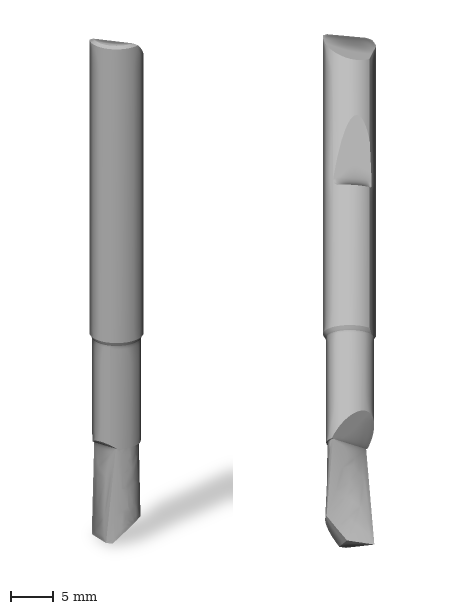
import cadquery as cq
import math

total_length = 63.5
shank_radius = 3.175
shank_bottom_z = 25.4
shank_bottom_chamfer_height = 0.5
shank_top_chamfer_height = 0.3
shank_top_chamfer_width = 0.4

shank_flat_distance = 2.79
shank_flat_angle = 150

top_bevel_angle = 45
top_bevel_start_y = -1.36

notch_top_z = 52.1
notch_heel_z = 43.6
notch_slope = 9.5
notch_corner_radius = 0.8

neck_radius = 2.85
relief_middle_angle = -45
neck_relief_radius = 2.68
neck_relief_inset = 0.1
neck_bottom_z = 12.25

root_edge = (-2.34, -1.29)
root_heel = (0.69, -2.48)
root_back = (2.38, 1.15)
root_back_radius = 2.62
tip_edge = (-3.01, -0.1)
tip_heel = (-0.38, -3.0)
tip_back = (3.05, -0.1)
tip_back_radius = 3.03

rake_runout_slope = 1.14
flank_runout_slope = 0.9

tip_end_slope = 0.06
tip_bevel_low = (0.5, 0.4)
tip_bevel_high = (3.05, 3.07)

cutter_size = 20


def polar(radius, degrees):
    angle = math.radians(degrees)
    return (radius * math.cos(angle), radius * math.sin(angle))


def side_prism(outline, plane):
    """Closed outline extruded through the whole tool, both ways from the plane."""
    return cq.Workplane(plane).polyline(outline).close().extrude(cutter_size, both=True)


def make_shank():
    top_radius = shank_radius - shank_top_chamfer_width
    profile = [
        (0, shank_bottom_z),
        (neck_radius, shank_bottom_z),
        (shank_radius, shank_bottom_z + shank_bottom_chamfer_height),
        (shank_radius, total_length - shank_top_chamfer_height),
        (top_radius, total_length),
        (0, total_length),
    ]
    shank = cq.Workplane("XZ").polyline(profile).close().revolve(360, (0, 0, 0), (0, 1, 0))
    return shank.cut(side_flat()).cut(top_bevel()).cut(notch())


def side_flat():
    block = cq.Workplane("XY").box(
        cutter_size, cutter_size, total_length, centered=(False, True, False)
    )
    block = block.translate((shank_flat_distance, 0, shank_bottom_z))
    return block.rotate((0, 0, 0), (0, 0, 1), shank_flat_angle)


def top_bevel():
    drop = cutter_size * math.tan(math.radians(top_bevel_angle))
    outline = [
        (top_bevel_start_y, total_length),
        (top_bevel_start_y + cutter_size, total_length),
        (top_bevel_start_y + cutter_size, total_length - drop),
    ]
    return side_prism(outline, "YZ")


def notch():
    """Shallow slope ending in a square, rounded shoulder, cut across the +Y side."""
    slope = math.tan(math.radians(notch_slope))
    heel_y = shank_radius - (notch_top_z - notch_heel_z) * slope
    reach = shank_radius
    outline = [
        (heel_y, notch_heel_z),
        (heel_y + reach, notch_heel_z - reach * slope),
        (heel_y + reach, notch_heel_z + reach / slope),
    ]
    inner_corner = cq.selectors.NearestToPointSelector((0, heel_y, notch_heel_z))
    return side_prism(outline, "YZ").edges(inner_corner).fillet(notch_corner_radius)


def make_neck():
    relief_side = math.sqrt(neck_radius**2 - neck_relief_inset**2)
    relief_start = (neck_relief_inset, -relief_side)
    relief_end = (relief_side, -neck_relief_inset)
    neck = (
        cq.Workplane("XY", origin=(0, 0, neck_bottom_z))
        .moveTo(*relief_start)
        .threePointArc(polar(neck_relief_radius, relief_middle_angle), relief_end)
        .threePointArc(polar(neck_radius, relief_middle_angle + 180), relief_start)
        .close()
        .extrude(shank_bottom_z - neck_bottom_z)
    )
    rake_cut = runout_wedge(root_back, root_edge, rake_runout_slope)
    flank_cut = runout_wedge(root_edge, root_heel, flank_runout_slope)
    return neck.cut(rake_cut).cut(flank_cut)


def runout_wedge(start, end, slope):
    """Wedge rising outward from a blade root side; outward is right of start to end."""
    length = math.hypot(end[0] - start[0], end[1] - start[1])
    along = cq.Vector((end[0] - start[0]) / length, (end[1] - start[1]) / length, 0)
    plane = cq.Plane(
        origin=(start[0], start[1], neck_bottom_z),
        xDir=(along.y, -along.x, 0),
        normal=along,
    )
    outline = [(0, 0), (cutter_size, 0), (cutter_size, -slope * cutter_size)]
    return cq.Workplane(plane).polyline(outline).close().extrude(cutter_size, both=True)


def blade_section(z, edge, heel, back, back_radius):
    """Wire with a straight flank, a curved back and a straight rake side."""
    edge_point = cq.Vector(*edge, z)
    heel_point = cq.Vector(*heel, z)
    back_point = cq.Vector(*back, z)
    middle = cq.Vector(*polar(back_radius, relief_middle_angle), z)
    return cq.Wire.assembleEdges([
        cq.Edge.makeLine(edge_point, heel_point),
        cq.Edge.makeThreePointArc(heel_point, middle, back_point),
        cq.Edge.makeLine(back_point, edge_point),
    ])


def make_blade():
    root = blade_section(neck_bottom_z, root_edge, root_heel, root_back, root_back_radius)
    tip = blade_section(0, tip_edge, tip_heel, tip_back, tip_back_radius)
    blade = cq.Workplane(cq.Solid.makeLoft([tip, root], True))
    return blade.cut(tip_end_cut()).cut(tip_bevel())


def tip_end_cut():
    """Half space below the end face, which falls away from the cutting corner."""
    plane = cq.Plane(
        origin=(tip_edge[0], tip_edge[1], 0),
        xDir=(1, 0, tip_end_slope),
        normal=(-tip_end_slope, tip_end_slope, 1),
    )
    return cq.Workplane(plane).rect(cutter_size, cutter_size).extrude(-cutter_size)


def tip_bevel():
    run = tip_bevel_high[0] - tip_bevel_low[0]
    rise = tip_bevel_high[1] - tip_bevel_low[1]
    start = (tip_bevel_low[0] - run, tip_bevel_low[1] - rise)
    end = (tip_bevel_high[0] + run, tip_bevel_high[1] + rise)
    return side_prism([start, end, (end[0], start[1])], "XZ")


result = make_shank().union(make_neck()).union(make_blade())